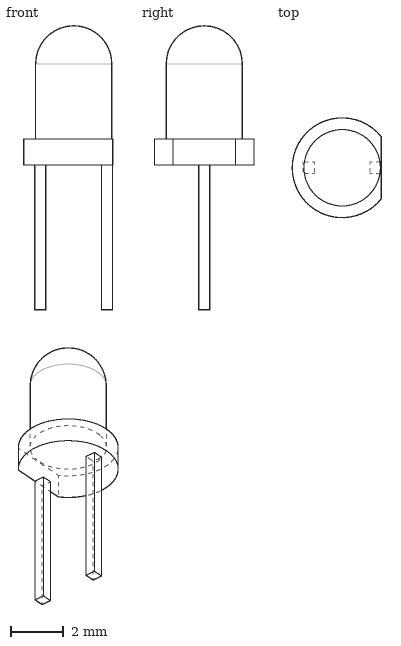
import cadquery as cq

total_height = 10.8

lens_diameter = 2.9
lens_radius = lens_diameter / 2

flange_diameter = 3.8
flange_thickness = 1.0
flat_offset = 1.49

lead_length = 5.5
lead_width = 0.42
lead_spacing = 2.54

flange_top = lead_length + flange_thickness
dome_base = total_height - lens_radius


def make_flange():
    flange_radius = flange_diameter / 2
    disc = cq.Workplane("XY").workplane(offset=lead_length).circle(flange_radius).extrude(flange_thickness)
    beyond_flat = (
        cq.Workplane("XY")
        .box(flange_diameter, flange_diameter, total_height, centered=(False, True, False))
        .translate((flat_offset, 0, 0))
    )
    return disc.cut(beyond_flat)


def make_lens():
    return (
        cq.Workplane("XZ")
        .moveTo(0, flange_top)
        .lineTo(lens_radius, flange_top)
        .lineTo(lens_radius, dome_base)
        .radiusArc((0, total_height), -lens_radius)
        .close()
        .revolve(360, (0, 0, 0), (0, 1, 0))
    )


def make_leads():
    return (
        cq.Workplane("XY")
        .pushPoints([(-lead_spacing / 2, 0), (lead_spacing / 2, 0)])
        .rect(lead_width, lead_width)
        .extrude(lead_length)
    )


result = make_flange().union(make_lens()).union(make_leads())